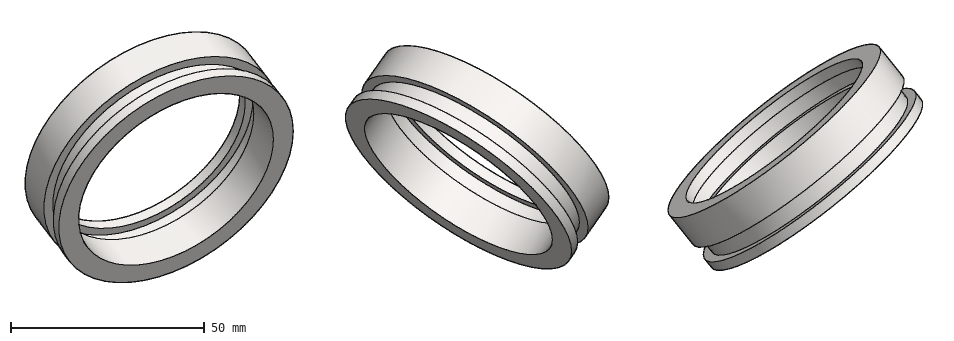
import cadquery as cq

outer_diameter = 69.6
bore_diameter = 57.8
width = 17.9

outer_groove_start = 10.0
outer_groove_width = 4.95
outer_groove_depth = 2.65

inner_groove_start = 3.0
inner_groove_width = 4.5
inner_groove_depth = 2.3


def ring(start, length, outside, inside):
    """Ring along X whose first face lies `start` from the ring's -X face."""
    profile = cq.Workplane("YZ", origin=(start - width / 2, 0, 0))
    return profile.circle(outside / 2).circle(inside / 2).extrude(length)


body = ring(0, width, outer_diameter, bore_diameter)

outer_groove = ring(
    outer_groove_start,
    outer_groove_width,
    outer_diameter,
    outer_diameter - 2 * outer_groove_depth,
)

inner_groove = ring(
    inner_groove_start,
    inner_groove_width,
    bore_diameter + 2 * inner_groove_depth,
    bore_diameter,
)

result = body.cut(outer_groove).cut(inner_groove)